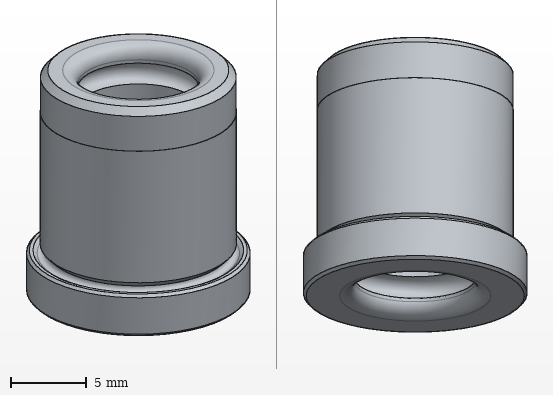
import cadquery as cq

height = 16.0
flange_diameter = 14.8
flange_radius = flange_diameter / 2
flange_height = 3.0
flange_chamfer = 0.2

shank_radius = 6.5
lead_radius = 6.48
lead_length = 3.0
lead_chamfer = 0.5

shank_chamfer = 0.4
shank_chamfer_lift = 0.1
relief_inner_radius = 6.69
relief_outer_radius = 6.96
relief_depth = 0.2

bore_radius = 4.0
mouth_radius = bore_radius / 4
groove_count = 5
groove_span = 12.0
groove_pitch = groove_span / (groove_count - 1)
groove_width = groove_pitch / 2
groove_depth = groove_width / 2


def make_body():
    """Revolve the solid outer profile about the Z axis."""
    chamfer_bottom = flange_height + shank_chamfer_lift
    lead_bottom = height - lead_length
    profile = (
        cq.Workplane("XZ")
        .lineTo(flange_radius - flange_chamfer, 0)
        .lineTo(flange_radius, flange_chamfer)
        .lineTo(flange_radius, flange_height - flange_chamfer)
        .lineTo(flange_radius - flange_chamfer, flange_height)
        .lineTo(relief_outer_radius, flange_height)
        .lineTo(relief_inner_radius, flange_height - relief_depth)
        .tangentArcPoint((shank_radius - shank_chamfer, chamfer_bottom), relative=False)
        .lineTo(shank_radius, chamfer_bottom + shank_chamfer)
        .lineTo(shank_radius, lead_bottom)
        .lineTo(lead_radius, lead_bottom)
        .lineTo(lead_radius, height - lead_chamfer)
        .lineTo(lead_radius - lead_chamfer, height)
        .lineTo(0, height)
        .close()
    )
    return profile.revolve(360, (0, 0, 0), (0, 1, 0))


def make_groove(center_z):
    """Ring-shaped cutter with a circular-arc floor."""
    half_width = groove_width / 2
    profile = (
        cq.Workplane("XZ")
        .moveTo(0, center_z - half_width)
        .lineTo(bore_radius, center_z - half_width)
        .threePointArc(
            (bore_radius + groove_depth, center_z),
            (bore_radius, center_z + half_width),
        )
        .lineTo(0, center_z + half_width)
        .close()
    )
    return profile.revolve(360, (0, 0, 0), (0, 1, 0))


body = make_body()
bore = cq.Workplane("XY").circle(bore_radius).extrude(height)
body = body.cut(bore)
smallest_circle = cq.selectors.RadiusNthSelector(0)
body = body.faces("<Z or >Z").edges(smallest_circle).fillet(mouth_radius)

for index in range(groove_count):
    offset = (index - (groove_count - 1) / 2) * groove_pitch
    body = body.cut(make_groove(height / 2 + offset))

result = body